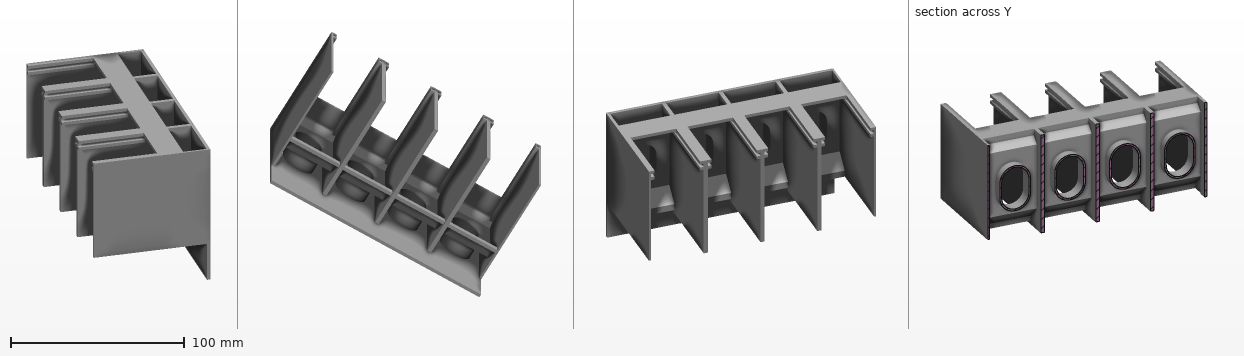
import cadquery as cq
import math

LENGTH = 140.0
DEPTH = 70.0
HEIGHT = 83.0
BAY_COUNT = 4
BAY_PITCH = LENGTH / BAY_COUNT

BACK_THICKNESS = 2.0
END_WALL_THICKNESS = 1.25
PARTITION_THICKNESS = 2 * END_WALL_THICKNESS
LEFT_REAR_THICKNESS = 1.8
END_WALL_HEIGHT = 60.0
PARTITION_HEIGHT = 62.3

RAIL_OVERHANG = 2.2
FLANGE_THICKNESS = 2.0
LIP_THICKNESS = 2.0
RAIL_GAP = 2.1

BRIDGE_REAR = 16.0
BRIDGE_FRONT = 31.0

SHEET_THICKNESS = 2.1
WEB_OFFSET = 4.0
UPPER_SLOPE_TOP = 4.9
LOWER_SLOPE_TOP = 47.9
LOWER_SLOPE_RISE = 8.1
LOWER_SLOPE_RUN = 8.4
WEB_REAR = BRIDGE_REAR - WEB_OFFSET
WEB_FRONT = WEB_REAR + SHEET_THICKNESS

SLOT_WIDTH = 17.1
SLOT_HEIGHT = 26.0
BOSS_WALL = 1.4
SLOT_DROP = 30.5


def block(x_center, width, rear, front, top, bottom):
    """Box given by distances forward of the rear face and below the top face."""
    return (
        cq.Workplane("XY")
        .box(width, front - rear, bottom - top)
        .translate((x_center, -(rear + front) / 2, -(top + bottom) / 2))
    )


def upright(x_center, thickness, height):
    """Upright plate with a flange and a lip running along both sides."""
    rail_width = thickness + 2 * RAIL_OVERHANG
    lip_top = FLANGE_THICKNESS + RAIL_GAP
    plate = block(x_center, thickness, 0, DEPTH, 0, END_WALL_HEIGHT)
    front_plate = block(x_center, thickness, BACK_THICKNESS, DEPTH, 0, height)
    flange = block(x_center, rail_width, BRIDGE_REAR, DEPTH, 0, FLANGE_THICKNESS)
    lip = block(x_center, rail_width, BRIDGE_REAR, DEPTH, lip_top, lip_top + LIP_THICKNESS)
    return plate.union(front_plate).union(flange).union(lip)


def fold_shift(run, rise):
    """Height change between the front and rear corners of one fold."""
    half_turn = math.atan2(run, rise) / 2
    return SHEET_THICKNESS * math.tan(half_turn)


def profile_along_x(outline):
    """Workplane holding a closed outline of (distance forward, distance down) points."""
    return (
        cq.Workplane("YZ")
        .polyline([(-forward, -drop) for forward, drop in outline])
        .close()
    )


def folded_wall():
    """Sheet of constant thickness, folded four times and running the full length."""
    upper_slope_bottom = UPPER_SLOPE_TOP + WEB_OFFSET
    lower_slope_bottom = LOWER_SLOPE_TOP + LOWER_SLOPE_RISE
    upper_shift = fold_shift(WEB_OFFSET, WEB_OFFSET)
    lower_shift = fold_shift(LOWER_SLOPE_RUN, LOWER_SLOPE_RISE)
    upper_front = BRIDGE_REAR + SHEET_THICKNESS
    lower_front = WEB_FRONT + LOWER_SLOPE_RUN
    lower_rear = WEB_REAR + LOWER_SLOPE_RUN
    outline = [
        (upper_front, 0),
        (upper_front, UPPER_SLOPE_TOP),
        (WEB_FRONT, upper_slope_bottom),
        (WEB_FRONT, LOWER_SLOPE_TOP),
        (lower_front, lower_slope_bottom),
        (lower_front, END_WALL_HEIGHT),
        (lower_rear, END_WALL_HEIGHT),
        (lower_rear, lower_slope_bottom + lower_shift),
        (WEB_REAR, LOWER_SLOPE_TOP + lower_shift),
        (WEB_REAR, upper_slope_bottom - upper_shift),
        (BRIDGE_REAR, UPPER_SLOPE_TOP - upper_shift),
        (BRIDGE_REAR, 0),
    ]
    return profile_along_x(outline).extrude(LENGTH / 2, both=True)


def left_rear_wall():
    """Left end wall between the back plate and the rear of the folded wall."""
    outline = [
        (0, 0),
        (BRIDGE_REAR, 0),
        (BRIDGE_REAR, UPPER_SLOPE_TOP),
        (WEB_REAR, UPPER_SLOPE_TOP + WEB_OFFSET),
        (WEB_REAR, END_WALL_HEIGHT),
        (0, END_WALL_HEIGHT),
    ]
    wall = profile_along_x(outline).extrude(LEFT_REAR_THICKNESS)
    return wall.translate((-LENGTH / 2, 0, 0))


def upright_oblong(x_center, width, height, rear, front):
    """Oblong prism with its long side vertical, running along Y."""
    return (
        cq.Workplane("XZ", origin=(x_center, -rear, -SLOT_DROP))
        .slot2D(height, width, 90)
        .extrude(front - rear)
    )


body = block(0, LENGTH, 0, BACK_THICKNESS, 0, HEIGHT)
body = body.union(block(0, LENGTH, BRIDGE_REAR, BRIDGE_FRONT, 0, FLANGE_THICKNESS))
body = body.union(folded_wall())

for index in range(1, BAY_COUNT):
    partition_x = index * BAY_PITCH - LENGTH / 2
    body = body.union(upright(partition_x, PARTITION_THICKNESS, PARTITION_HEIGHT))

envelope = block(0, LENGTH, 0, DEPTH, 0, HEIGHT)
for end_x in (-LENGTH / 2, LENGTH / 2):
    end_wall = upright(end_x, PARTITION_THICKNESS, END_WALL_HEIGHT)
    body = body.union(end_wall.intersect(envelope))

body = body.union(left_rear_wall())

for index in range(BAY_COUNT):
    bay_x = (index + 0.5) * BAY_PITCH - LENGTH / 2
    boss = upright_oblong(
        bay_x, SLOT_WIDTH + 2 * BOSS_WALL, SLOT_HEIGHT + 2 * BOSS_WALL, BACK_THICKNESS, WEB_REAR
    )
    slot = upright_oblong(bay_x, SLOT_WIDTH, SLOT_HEIGHT, BACK_THICKNESS, WEB_FRONT)
    body = body.union(boss).cut(slot)

result = body